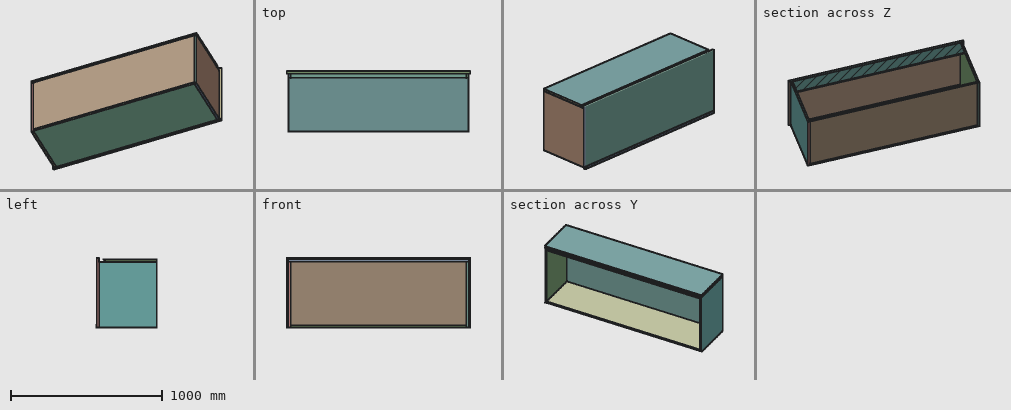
import cadquery as cq

LENGTH = 1210.0
DEPTH = 399.0
HEIGHT = 460.0

BOARD = 16.0
CABINET_LENGTH = 1187.0
CABINET_HEIGHT = 433.0
RAIL_DEPTH = 97.0

TOP_GAP = 1.8
TOP_SETBACK = 28.0

DOOR_THICKNESS = 16.0
DOOR_ROUND = 3.0
STRIP_DEPTH = 3.0
STRIP_HEIGHT = 18.0

REAR = -DEPTH / 2
DOOR_FACE = DEPTH / 2 - STRIP_DEPTH
CABINET_FRONT = DOOR_FACE - DOOR_THICKNESS
CABINET_DEPTH = CABINET_FRONT - REAR
INNER_LENGTH = CABINET_LENGTH - 2 * BOARD


def make_board(size, corner_y, base_z, centre_x=0):
    """Rectangular board centred on centre_x, reaching from corner_y toward +Y and from base_z up."""
    box = cq.Workplane("XY").box(*size, centered=(True, False, False))
    return box.translate((centre_x, corner_y, base_z))


def make_side(direction):
    """Side panel at the -X (direction -1) or +X (direction 1) end."""
    centre_x = direction * (CABINET_LENGTH - BOARD) / 2
    return make_board((BOARD, CABINET_DEPTH, CABINET_HEIGHT), REAR, 0, centre_x)


def make_bottom():
    """Floor between the sides."""
    return make_board((INNER_LENGTH, CABINET_DEPTH, BOARD), REAR, 0)


def make_back():
    """Upright panel between the sides, standing on the floor."""
    return make_board((INNER_LENGTH, BOARD, CABINET_HEIGHT - BOARD), REAR, BOARD)


def make_rail():
    """Flat rail between the sides, level with their upper edges and behind the door."""
    size = (INNER_LENGTH, RAIL_DEPTH, BOARD)
    return make_board(size, CABINET_FRONT - RAIL_DEPTH, CABINET_HEIGHT - BOARD)


def make_top():
    """Top panel whose edge toward the door is undercut at 45 degrees as a finger grip."""
    lower = CABINET_HEIGHT + TOP_GAP
    upper = lower + BOARD
    nose = CABINET_FRONT - TOP_SETBACK
    profile = [(REAR, lower), (nose - BOARD, lower), (nose, upper), (REAR, upper)]
    return cq.Workplane("YZ").polyline(profile).close().extrude(CABINET_LENGTH / 2, both=True)


def make_door():
    """Door panel with its upright and upper edges rounded."""
    panel = make_board((LENGTH, DOOR_THICKNESS, HEIGHT), CABINET_FRONT, 0)
    return panel.edges("|Z or >Z").fillet(DOOR_ROUND)


def make_strip():
    """Thin strip on the flat part of the door's outer face, along its foot."""
    return make_board((LENGTH - 2 * DOOR_ROUND, STRIP_DEPTH, STRIP_HEIGHT), DOOR_FACE, 0)


sides = [make_side(direction) for direction in (-1, 1)]
bottom = make_bottom()
back = make_back()
rail = make_rail()
top = make_top()
door = make_door()
strip = make_strip()

result = cq.Compound.makeCompound([
    *[side.val() for side in sides],
    bottom.val(),
    back.val(),
    rail.val(),
    top.val(),
    door.val(),
    strip.val(),
])